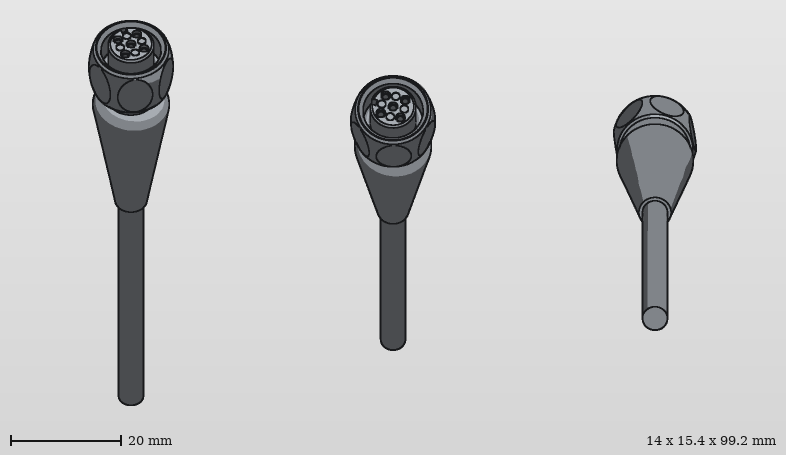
import cadquery as cq

total_length = 99.2
relief_bottom = 55.3
relief_shoulder = 81.8
relief_top = 84.3
nut_bottom = 87.5
insert_step = 1.1
nut_top = total_length - insert_step

cable_diameter = 4.6
relief_small_diameter = 5.9
relief_large_diameter = 13.9
relief_round = 2
relief_round_inset = 0.6
neck_diameter = 8.7

across_flats = 14.0
across_corners = 15.4
nut_end_diameter = 13.8
nut_end_chamfer = 0.5
bore_diameter = 10.9
bore_mouth_diameter = 12.5
bore_chamfer = 0.8
bore_depth = 6

seal_section = 1.3

insert_diameter = 8.3
insert_edge = 0.4
contact_spacing = 2.6
contact_diameter = 1.2
contact_depth = 3
contact_mouth_diameter = 1.7
contact_mouth_depth = 0.8
recess_diameter = 1.5
recess_depth = 0.2
recess_offset = 1.5
keyway_width = 1.1
keyway_bottom_radius = 3.1
keyway_depth = 3
keyway_angle = 135


def cylinder(diameter, bottom, top):
    return cq.Workplane("XY").workplane(offset=bottom).circle(diameter / 2).extrude(top - bottom)


def make_relief():
    """Tapered strain relief with a rounded shoulder."""
    large_radius = relief_large_diameter / 2
    shoulder_mid = (large_radius - relief_round_inset, relief_top - relief_round_inset)
    return (
        cq.Workplane("XZ")
        .moveTo(0, relief_bottom)
        .lineTo(relief_small_diameter / 2, relief_bottom)
        .lineTo(large_radius, relief_shoulder)
        .threePointArc(shoulder_mid, (large_radius - relief_round, relief_top))
        .lineTo(0, relief_top)
        .close()
        .revolve(360, (0, 0), (0, 1))
    )


def make_nut():
    """Hexagonal nut with barrel-shaped corners and a chamfered bore."""
    hexagon = (
        cq.Workplane("XY")
        .workplane(offset=nut_bottom)
        .polygon(6, across_flats, circumscribed=True)
        .extrude(nut_top - nut_bottom)
    )
    end_radius = nut_end_diameter / 2
    chamfer_radius = end_radius - nut_end_chamfer
    barrel = (
        cq.Workplane("XZ")
        .moveTo(0, nut_bottom)
        .lineTo(chamfer_radius, nut_bottom)
        .lineTo(end_radius, nut_bottom + nut_end_chamfer)
        .threePointArc(
            (across_corners / 2, (nut_bottom + nut_top) / 2),
            (end_radius, nut_top - nut_end_chamfer),
        )
        .lineTo(chamfer_radius, nut_top)
        .lineTo(0, nut_top)
        .close()
        .revolve(360, (0, 0), (0, 1))
    )
    floor = nut_top - bore_depth
    bore = (
        cq.Workplane("XZ")
        .moveTo(0, floor)
        .lineTo(bore_diameter / 2, floor)
        .lineTo(bore_diameter / 2, nut_top - bore_chamfer)
        .lineTo(bore_mouth_diameter / 2, nut_top)
        .lineTo(0, nut_top)
        .close()
        .revolve(360, (0, 0), (0, 1))
    )
    return hexagon.intersect(barrel).cut(bore)


def make_seal():
    """Round-section ring, sunk to half its section in the bore floor."""
    center_radius = (insert_diameter + seal_section) / 2
    return (
        cq.Workplane("XZ")
        .center(center_radius, nut_top - bore_depth)
        .circle(seal_section / 2)
        .revolve(360, (-center_radius, 0), (-center_radius, 1))
    )


def make_insert():
    """Contact carrier with five stepped contact holes, four shallow recesses and a keyway."""
    insert = cylinder(insert_diameter, nut_bottom, total_length).faces(">Z").chamfer(insert_edge)
    contacts = [(0, 0)]
    recesses = []
    for sign in (-1, 1):
        contacts += [(sign * contact_spacing, 0), (0, sign * contact_spacing)]
        recesses += [(sign * recess_offset, recess_offset), (sign * recess_offset, -recess_offset)]
    keyway_reach = insert_diameter / 2 - keyway_bottom_radius
    keyway = (
        cq.Workplane("XY")
        .box(keyway_reach, keyway_width, keyway_depth, centered=(False, True, False))
        .translate((keyway_bottom_radius, 0, total_length - keyway_depth))
        .rotate((0, 0, 0), (0, 0, 1), keyway_angle)
    )
    return (
        insert.cut(keyway)
        .faces(">Z")
        .workplane(origin=(0, 0, total_length))
        .pushPoints(contacts)
        .cboreHole(contact_diameter, contact_mouth_diameter, contact_mouth_depth, contact_depth)
        .pushPoints(recesses)
        .hole(recess_diameter, recess_depth)
    )


cable = cylinder(cable_diameter, 0, relief_bottom)
neck = cylinder(neck_diameter, relief_top, nut_bottom)

result = cable.union(make_relief()).union(neck).union(make_nut()).union(make_seal()).union(make_insert())
result = result.translate((0, 0, -total_length / 2))